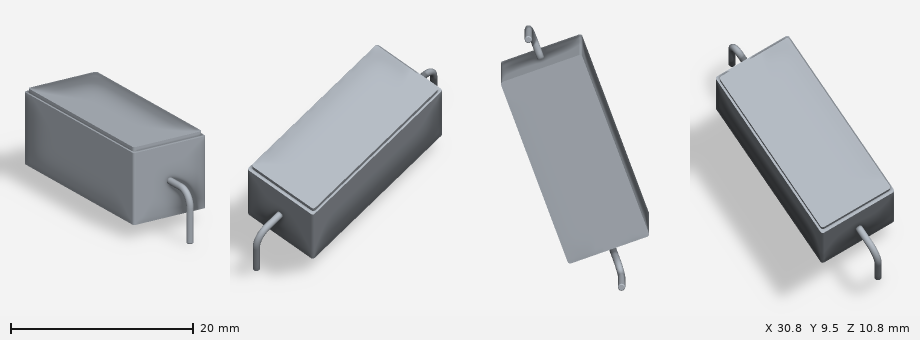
import cadquery as cq

body_length = 22.0
body_width = 9.5
body_height = 8.5
body_corner_radius = 0.3

cap_inset_x = 0.4
cap_inset_y = 0.25
cap_height = 0.5
cap_corner_radius = 0.3

wire_diameter = 0.8
lead_pitch = 30.0
bend_radius = 1.8
lead_drop = 1.81
tip_chamfer = 0.1
lead_axis_z = body_height / 2


def rounded_block(length, width, height, corner_radius, base_z):
    """Block centred in X and Y with rounded vertical edges."""
    return (
        cq.Workplane("XY", origin=(0, 0, base_z))
        .rect(length, width)
        .extrude(height)
        .edges("|Z")
        .fillet(corner_radius)
    )


def make_lead(side):
    """Wire leaving one end of the body and bending down; side is -1 or +1."""
    wall_x = side * body_length / 2
    leg_x = side * lead_pitch / 2
    bend_start_x = leg_x - side * bend_radius
    bend_end_z = lead_axis_z - bend_radius
    wire_radius = wire_diameter / 2

    horizontal = (
        cq.Workplane("YZ", origin=(wall_x, 0, lead_axis_z))
        .circle(wire_radius)
        .extrude(bend_start_x - wall_x)
    )
    bend = (
        cq.Workplane("XY", origin=(leg_x, 0, bend_end_z))
        .circle(wire_radius)
        .revolve(90, (-side * bend_radius, 0), (-side * bend_radius, -side))
    )
    leg = (
        cq.Workplane("XY", origin=(leg_x, 0, -lead_drop))
        .circle(wire_radius)
        .extrude(bend_end_z + lead_drop)
        .faces("<Z")
        .chamfer(tip_chamfer)
    )
    return horizontal.union(bend).union(leg)


body = rounded_block(body_length, body_width, body_height, body_corner_radius, 0)
cap = rounded_block(
    body_length - 2 * cap_inset_x,
    body_width - 2 * cap_inset_y,
    cap_height,
    cap_corner_radius,
    body_height,
)

result = body.union(cap)
for lead_side in (-1, 1):
    result = result.union(make_lead(lead_side))